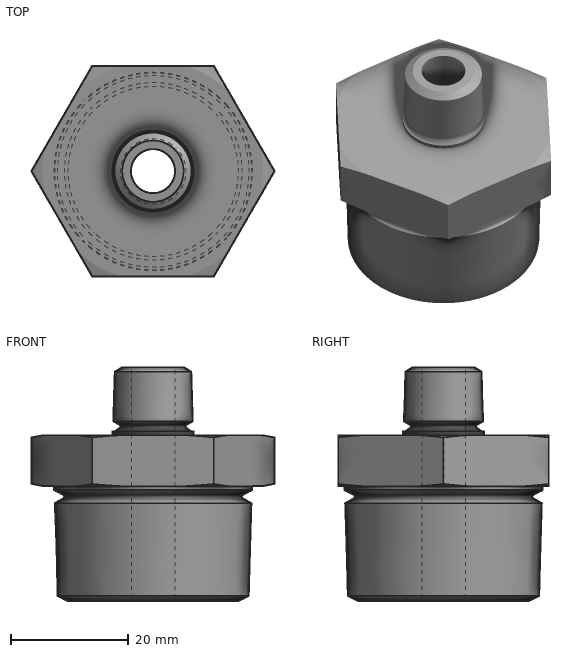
import cadquery as cq

total_height = 40.0
bore_radius = 3.75

hex_across_corners = 41.55
hex_bottom = 19.65
hex_height = 8.7
hex_top = hex_bottom + hex_height
hex_face_radius = 18.85
hex_chamfer_drop = 0.37

large_face_radius = 14.55
large_chamfer_height = 0.9
large_tip_radius = 16.38
large_root_radius = 16.85
large_taper_end = 16.7
large_neck_radius = 14.8
large_neck_height = 17.88
large_collar_radius = 16.95
large_collar_bottom = 19.0

small_collar_radius = 6.95
small_collar_top = 29.0
small_ledge_radius = 6.55
small_neck_radius = 5.3
small_neck_height = 29.85
small_root_radius = 6.8
small_taper_start = 30.75
small_tip_radius = 6.55
small_face_radius = 5.25
small_chamfer_height = 0.85

groove_root_fillet = 0.35


def revolve_profile(points):
    """Revolve an (R, Z) outline about the Z axis."""
    return cq.Workplane("XZ").polyline(points).close().revolve(360, (0, 0), (0, 1))


def round_groove_root(body, neck_radius, neck_height):
    """Round the sharp bottom of a V groove."""
    reach = neck_radius + groove_root_fillet
    root = cq.selectors.BoxSelector(
        (-reach, -reach, neck_height - groove_root_fillet / 2),
        (reach, reach, neck_height + groove_root_fillet / 2),
        boundingbox=True,
    )
    return body.edges(root).fillet(groove_root_fillet)


def make_large_end():
    end = revolve_profile([
        (0, 0),
        (large_face_radius, 0),
        (large_tip_radius, large_chamfer_height),
        (large_root_radius, large_taper_end),
        (large_neck_radius, large_neck_height),
        (large_collar_radius, large_collar_bottom),
        (large_collar_radius, hex_bottom),
        (0, hex_bottom),
    ])
    return round_groove_root(end, large_neck_radius, large_neck_height)


def make_small_end():
    end = revolve_profile([
        (0, hex_top),
        (small_collar_radius, hex_top),
        (small_collar_radius, small_collar_top),
        (small_ledge_radius, small_collar_top),
        (small_neck_radius, small_neck_height),
        (small_root_radius, small_taper_start),
        (small_tip_radius, total_height - small_chamfer_height),
        (small_face_radius, total_height),
        (0, total_height),
    ])
    return round_groove_root(end, small_neck_radius, small_neck_height)


def make_hexagon():
    """Hexagonal prism whose corners are trimmed by a shallow cone at both faces."""
    corner_radius = hex_across_corners / 2
    prism = cq.Workplane("XY", origin=(0, 0, hex_bottom)).polygon(6, hex_across_corners).extrude(hex_height)
    corner_trim = revolve_profile([
        (0, hex_bottom),
        (hex_face_radius, hex_bottom),
        (corner_radius, hex_bottom + hex_chamfer_drop),
        (corner_radius, hex_top - hex_chamfer_drop),
        (hex_face_radius, hex_top),
        (0, hex_top),
    ])
    return prism.intersect(corner_trim)


bore = cq.Workplane("XY").circle(bore_radius).extrude(total_height)
result = make_hexagon().union(make_large_end()).union(make_small_end()).cut(bore)